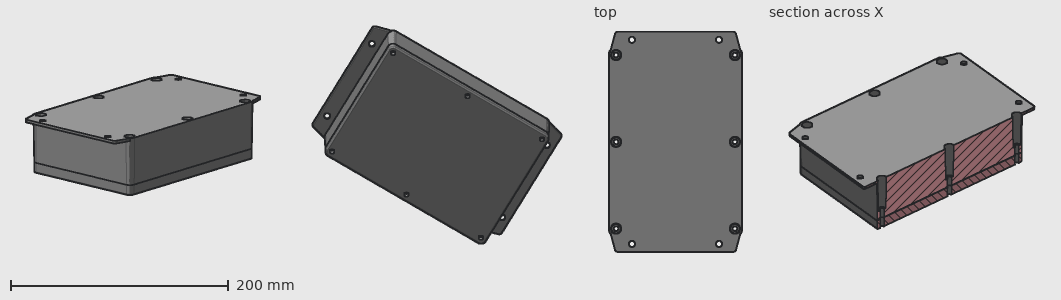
import cadquery as cq
import math

TOTAL_HEIGHT = 55.0
COVER_HEIGHT = 10.0
BOX_HEIGHT = TOTAL_HEIGHT - COVER_HEIGHT

TOP_WIDTH = 122.57
TOP_LENGTH = 172.57
WALL_DRAFT = 0.9
WALL_SPREAD = BOX_HEIGHT * math.tan(math.radians(WALL_DRAFT))
COVER_WIDTH = TOP_WIDTH - 2 * WALL_SPREAD
COVER_LENGTH = TOP_LENGTH - 2 * WALL_SPREAD
CORNER_RADIUS = 5.0
COVER_EDGE_RADIUS = 1.5

FLANGE_REACH = 15.0
FLANGE_LENGTH = TOP_LENGTH + 2 * FLANGE_REACH
FLANGE_THICKNESS = 3.0
FLANGE_EDGE_RADIUS = 1.0
FLANGE_TIP_WIDTH = 110.3
FLANGE_SIDE_ANGLE = 15.0
FLANGE_CORNER_RADIUS = 3.0
FLANGE_HOLE_DIAMETER = 5.5
FLANGE_HOLE_SPACING_X = 80.0
FLANGE_HOLE_INSET = 7.5

SCREW_SPACING_X = 109.2
SCREW_SPACING_Y = 79.75
SCREW_HOLE_DIAMETER = 4.2
COUNTERBORE_DIAMETER = 9.6
COUNTERBORE_FLOOR_DIAMETER = 8.4
COUNTERBORE_DEPTH = 35.0


def footprint():
    return (
        cq.Sketch()
        .rect(COVER_WIDTH, COVER_LENGTH)
        .vertices()
        .fillet(CORNER_RADIUS)
    )


def screw_points(height):
    return (
        cq.Workplane("XY", origin=(0, 0, height))
        .rarray(SCREW_SPACING_X, SCREW_SPACING_Y, 2, 3)
    )


def screw_drills():
    return screw_points(0).circle(SCREW_HOLE_DIAMETER / 2).extrude(TOTAL_HEIGHT)


def counterbores():
    """Screw-head recesses that narrow slightly towards their floor."""
    side_step = (COUNTERBORE_DIAMETER - COUNTERBORE_FLOOR_DIAMETER) / 2
    draft = math.degrees(math.atan(side_step / COUNTERBORE_DEPTH))
    return (
        screw_points(TOTAL_HEIGHT - COUNTERBORE_DEPTH)
        .circle(COUNTERBORE_FLOOR_DIAMETER / 2)
        .extrude(COUNTERBORE_DEPTH, taper=-draft)
    )


def flange_plate():
    """One plate that crosses the box and sticks out as a flange at each end."""
    tip_x = FLANGE_TIP_WIDTH / 2
    tip_y = FLANGE_LENGTH / 2
    root_y = COVER_LENGTH / 2 - CORNER_RADIUS
    root_x = tip_x + (tip_y - root_y) * math.tan(math.radians(FLANGE_SIDE_ANGLE))
    plate = (
        cq.Workplane("XY", origin=(0, 0, TOTAL_HEIGHT - FLANGE_THICKNESS))
        .polyline([
            (tip_x, tip_y),
            (root_x, root_y),
            (root_x, -root_y),
            (tip_x, -tip_y),
            (-tip_x, -tip_y),
            (-root_x, -root_y),
            (-root_x, root_y),
            (-tip_x, tip_y),
        ])
        .close()
        .extrude(FLANGE_THICKNESS)
    )
    plate = plate.edges("|Z").edges("<Y or >Y").fillet(FLANGE_CORNER_RADIUS)
    return plate.faces("<Z").edges().fillet(FLANGE_EDGE_RADIUS)


def flange_drills():
    return (
        cq.Workplane("XY", origin=(0, 0, TOTAL_HEIGHT - FLANGE_THICKNESS))
        .rarray(FLANGE_HOLE_SPACING_X, FLANGE_LENGTH - 2 * FLANGE_HOLE_INSET, 2, 2)
        .circle(FLANGE_HOLE_DIAMETER / 2)
        .extrude(FLANGE_THICKNESS)
    )


def make_box():
    walls = (
        cq.Workplane("XY", origin=(0, 0, COVER_HEIGHT))
        .placeSketch(footprint())
        .extrude(BOX_HEIGHT, taper=-WALL_DRAFT)
    )
    return (
        walls.union(flange_plate())
        .cut(flange_drills())
        .cut(counterbores())
        .cut(screw_drills())
    )


def make_cover():
    slab = cq.Workplane("XY").placeSketch(footprint()).extrude(COVER_HEIGHT)
    return slab.faces("<Z").edges().fillet(COVER_EDGE_RADIUS).cut(screw_drills())


box = make_box()
cover = make_cover()
result = cq.Compound.makeCompound([box.val(), cover.val()])